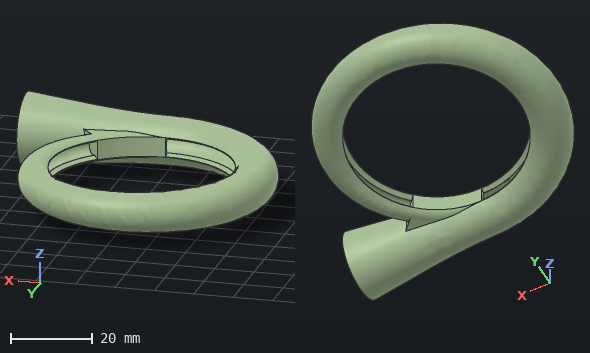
import cadquery as cq
import math


bore_radius = 23.0
slot_half_height = 2.4
lip_edge = 0.15
slot_flare_angle = 26.0
slot_depth = 2.45
wall = 1.5

tip_angle = -47.0
inlet_angle = 270.0
tip_radius = 3.4
inlet_radius = 6.1
section_count = 15

web_half_height = 3.3

mouth_radius = 9.2
inlet_length = 36.85
mouth_slope = 0.11


def tube_radius(angle):
    """Outer tube radius; the flow area inside the tube grows evenly with the angle."""
    fraction = (angle - tip_angle) / (inlet_angle - tip_angle)
    tip_flow = (tip_radius - wall)**2
    inlet_flow = (inlet_radius - wall)**2
    return wall + math.sqrt(tip_flow + fraction * (inlet_flow - tip_flow))


def tube_offset(radius):
    """Ring radius of a tube centre whose circle meets the bore just beyond the slot edges."""
    return bore_radius + math.sqrt(radius**2 - (slot_half_height + lip_edge)**2)


def ring_point(radius, angle):
    """Point in the ring plane at a radius and an angle in degrees."""
    turn = math.radians(angle)
    return (radius * math.cos(turn), radius * math.sin(turn))


def spiral(inset):
    """Spiral tube whose surface lies `inset` below the outer tube surface."""
    sections = []
    for index in range(section_count):
        angle = tip_angle + (inlet_angle - tip_angle) * index / (section_count - 1)
        radius = tube_radius(angle)
        center = cq.Vector(*ring_point(tube_offset(radius), angle))
        tangent = cq.Vector(*ring_point(1, angle + 90))
        plane = cq.Plane(center, xDir=center * -1, normal=tangent)
        sections.append(cq.Workplane(plane).circle(radius - inset).wire().val())
    return cq.Workplane(cq.Solid.makeLoft(sections))


def inlet(inset):
    """Trumpet along +X whose surface lies `inset` below the outer inlet surface."""
    profile = (
        cq.Workplane("XY")
        .lineTo(0, inlet_radius - inset)
        .spline(
            [(inlet_length, mouth_radius - inset)],
            tangents=[(1, 0), (1, mouth_slope)],
            includeCurrent=True,
        )
        .lineTo(inlet_length, 0)
        .close()
    )
    axis_y = -tube_offset(inlet_radius)
    return profile.revolve(360, (0, 0, 0), (1, 0, 0)).translate((0, axis_y, 0))


def bridge():
    """Solid ring segment that joins the narrow end of the spiral to the inlet."""
    offset = tube_offset(tip_radius)
    join_angle = inlet_angle - 360
    section = cq.Workplane("XZ").center(offset, 0).circle(tip_radius)
    segment = section.revolve(tip_angle - join_angle, (-offset, 0), (-offset, 1))
    return segment.rotate((0, 0, 0), (0, 0, 1), join_angle)


def web():
    """Flat web that fills the wedge between the bridge and the inlet."""
    offset = tube_offset(tip_radius)
    outline = (
        cq.Workplane("XY", origin=(0, 0, -web_half_height))
        .moveTo(*ring_point(offset, inlet_angle))
        .threePointArc(
            ring_point(offset, (tip_angle + inlet_angle - 360) / 2),
            ring_point(offset, tip_angle),
        )
        .lineTo(*ring_point(offset + 2 * tip_radius, tip_angle))
        .lineTo(*ring_point(tube_offset(inlet_radius), inlet_angle))
        .close()
    )
    return outline.extrude(2 * web_half_height)


def slot():
    """Flared slot cutter along the whole spiral."""
    inner_radius = bore_radius - wall
    outer_radius = bore_radius + slot_depth
    taper = math.tan(math.radians(slot_flare_angle))
    inner_half = slot_half_height + wall * taper
    outer_half = slot_half_height - slot_depth * taper
    profile = cq.Workplane("XZ").polyline([
        (inner_radius, -inner_half),
        (outer_radius, -outer_half),
        (outer_radius, outer_half),
        (inner_radius, inner_half),
    ]).close()
    cutter = profile.revolve(inlet_angle - tip_angle, (0, 0), (0, 1))
    return cutter.rotate((0, 0, 0), (0, 0, 1), tip_angle)


bore = cq.Workplane("XY").circle(bore_radius).extrude(mouth_radius, both=True)
shell = spiral(0).union(inlet(0)).union(bridge()).union(web()).cut(bore)
cavity = spiral(wall).union(inlet(wall))
result = shell.cut(cavity).cut(slot())